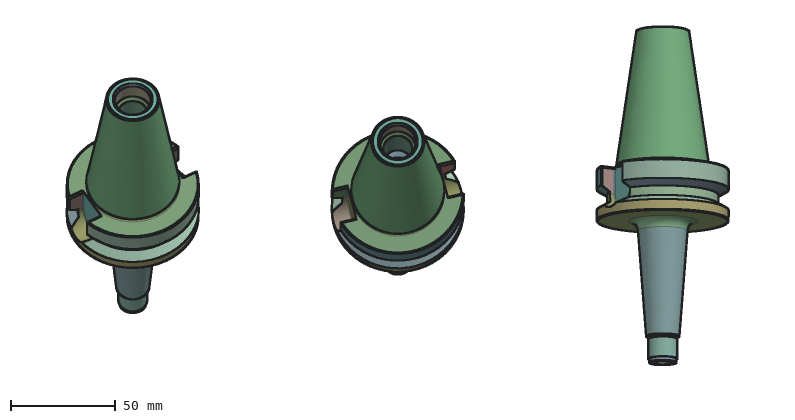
import cadquery as cq
import math


GAUGE_Z = 0.0
GAUGE_DIAMETER = 44.45
TAPER_RATIO = 7 / 24
TAPER_LENGTH = 65.4
TAPER_TOP_CHAMFER_WIDTH = 0.8
TAPER_TOP_CHAMFER_HEIGHT = 0.4
RELIEF_DEPTH = 0.4
RELIEF_HEIGHT = 0.9
RELIEF_FILLET = 0.65

FLANGE_DIAMETER = 63.0
FLANGE_TOP_Z = -2.0
FLANGE_BOTTOM_Z = -27.0
FLANGE_EDGE_CHAMFER = 0.5
GROOVE_DIAMETER = 53.2
GROOVE_MIDDLE_Z = -16.6
GROOVE_FLOOR_WIDTH = 4.6
GROOVE_FLANK_ANGLE = 30.0

SLOT_WIDTH = 16.1
SLOT_FLOOR_Y = 22.5
SLOT_ARC_CENTER_Z = -15.2
SLOT_CORNER_RADIUS = 0.5
SLOT_EDGE_CHAMFER = 0.5
SLOT_TOP_CHAMFER = 0.9

NECK_TOP_DIAMETER = 23.8
NECK_BOTTOM_DIAMETER = 16.0
NECK_TOP_Z = -31.6
NECK_BOTTOM_Z = -82.6
NECK_FLARE_RADIUS = 4.6
SPIGOT_DIAMETER = 14.0
UNDERCUT_DIAMETER = 12.7
UNDERCUT_FACE_HEIGHT = 0.4
UNDERCUT_LENGTH = 1.4
TIP_DIAMETER = 13.2
TIP_LENGTH = 2.0
TIP_CHAMFER = 0.25
BOTTOM_Z = -95.5

BORE_DIAMETER = 17.0
BORE_MOUTH_CHAMFER = 1.0
BORE_DEPTH = 9.1
THREAD_BORE_DIAMETER = 13.84
THREAD_BORE_DEPTH = 30.0
DRILL_POINT_ANGLE = 120.0
COOLANT_DIAMETER = 8.0

FLANGE_RADIUS = FLANGE_DIAMETER / 2


def make_body():
    """Revolve the outer profile; the axis is the left side of the (radius, height) sketch."""
    gauge_radius = GAUGE_DIAMETER / 2
    top_radius = gauge_radius - TAPER_LENGTH * TAPER_RATIO / 2
    relief_radius = gauge_radius - RELIEF_DEPTH
    half_floor = GROOVE_FLOOR_WIDTH / 2
    groove_radius = GROOVE_DIAMETER / 2
    flank_height = (FLANGE_RADIUS - groove_radius) * math.tan(math.radians(GROOVE_FLANK_ANGLE))
    half_mouth = half_floor + flank_height
    neck_radius = NECK_TOP_DIAMETER / 2
    spigot_radius = SPIGOT_DIAMETER / 2
    undercut_radius = UNDERCUT_DIAMETER / 2
    tip_radius = TIP_DIAMETER / 2
    return (
        cq.Workplane("XZ")
        .moveTo(0, TAPER_LENGTH)
        .lineTo(top_radius - TAPER_TOP_CHAMFER_WIDTH, TAPER_LENGTH)
        .lineTo(top_radius, TAPER_LENGTH - TAPER_TOP_CHAMFER_HEIGHT)
        .lineTo(gauge_radius, GAUGE_Z)
        .lineTo(relief_radius, -RELIEF_HEIGHT)
        .lineTo(relief_radius, FLANGE_TOP_Z + RELIEF_FILLET)
        .radiusArc((relief_radius + RELIEF_FILLET, FLANGE_TOP_Z), -RELIEF_FILLET)
        .lineTo(FLANGE_RADIUS - FLANGE_EDGE_CHAMFER, FLANGE_TOP_Z)
        .lineTo(FLANGE_RADIUS, FLANGE_TOP_Z - FLANGE_EDGE_CHAMFER)
        .lineTo(FLANGE_RADIUS, GROOVE_MIDDLE_Z + half_mouth)
        .lineTo(groove_radius, GROOVE_MIDDLE_Z + half_floor)
        .lineTo(groove_radius, GROOVE_MIDDLE_Z - half_floor)
        .lineTo(FLANGE_RADIUS, GROOVE_MIDDLE_Z - half_mouth)
        .lineTo(FLANGE_RADIUS, FLANGE_BOTTOM_Z + FLANGE_EDGE_CHAMFER)
        .lineTo(FLANGE_RADIUS - FLANGE_EDGE_CHAMFER, FLANGE_BOTTOM_Z)
        .lineTo(neck_radius + NECK_FLARE_RADIUS, FLANGE_BOTTOM_Z)
        .radiusArc((neck_radius, NECK_TOP_Z), -NECK_FLARE_RADIUS)
        .lineTo(NECK_BOTTOM_DIAMETER / 2, NECK_BOTTOM_Z)
        .lineTo(spigot_radius, NECK_BOTTOM_Z)
        .lineTo(undercut_radius, NECK_BOTTOM_Z - UNDERCUT_FACE_HEIGHT)
        .lineTo(spigot_radius, NECK_BOTTOM_Z - UNDERCUT_LENGTH)
        .lineTo(spigot_radius, BOTTOM_Z + TIP_LENGTH)
        .lineTo(undercut_radius, BOTTOM_Z + TIP_LENGTH)
        .lineTo(tip_radius, BOTTOM_Z + TIP_CHAMFER)
        .lineTo(tip_radius - TIP_CHAMFER, BOTTOM_Z)
        .lineTo(0, BOTTOM_Z)
        .close()
        .revolve(360, (0, 0, 0), (0, 1, 0))
    )


def make_bore():
    """Bore with a 45 degree shoulder, a thread bore with a drill point, and the coolant hole."""
    bore_radius = BORE_DIAMETER / 2
    thread_radius = THREAD_BORE_DIAMETER / 2
    coolant_radius = COOLANT_DIAMETER / 2
    shoulder_z = TAPER_LENGTH - BORE_DEPTH
    shoulder_height = bore_radius - thread_radius
    thread_end_z = TAPER_LENGTH - THREAD_BORE_DEPTH
    point_height = (thread_radius - coolant_radius) / math.tan(math.radians(DRILL_POINT_ANGLE / 2))
    return (
        cq.Workplane("XZ")
        .moveTo(0, TAPER_LENGTH)
        .lineTo(bore_radius + BORE_MOUTH_CHAMFER, TAPER_LENGTH)
        .lineTo(bore_radius, TAPER_LENGTH - BORE_MOUTH_CHAMFER)
        .lineTo(bore_radius, shoulder_z)
        .lineTo(thread_radius, shoulder_z - shoulder_height)
        .lineTo(thread_radius, thread_end_z)
        .lineTo(coolant_radius, thread_end_z - point_height)
        .lineTo(coolant_radius, BOTTOM_Z)
        .lineTo(0, BOTTOM_Z)
        .close()
        .revolve(360, (0, 0, 0), (0, 1, 0))
    )


def make_slot_cutter():
    """U-shaped cutter for the -Y drive slot, with its floor edge rounded."""
    half_width = SLOT_WIDTH / 2
    cutter = (
        cq.Workplane("XZ", origin=(0, -SLOT_FLOOR_Y, 0))
        .moveTo(-half_width, GAUGE_Z)
        .lineTo(-half_width, SLOT_ARC_CENTER_Z)
        .threePointArc((0, SLOT_ARC_CENTER_Z - half_width), (half_width, SLOT_ARC_CENTER_Z))
        .lineTo(half_width, GAUGE_Z)
        .close()
        .extrude(FLANGE_RADIUS)
    )
    floor_edges = cutter.faces(">Y").edges("not >Z")
    return cutter.newObject(floor_edges.vals()).fillet(SLOT_CORNER_RADIUS)


def make_slot_top_bevel():
    """Wedge along the slot that bevels both slot walls at the flange top."""
    half_width = SLOT_WIDTH / 2
    half_mouth = half_width + SLOT_TOP_CHAMFER
    bevel_bottom = FLANGE_TOP_Z - SLOT_TOP_CHAMFER
    return (
        cq.Workplane("XZ", origin=(0, -SLOT_FLOOR_Y, 0))
        .moveTo(-half_mouth, FLANGE_TOP_Z)
        .lineTo(-half_width, bevel_bottom)
        .lineTo(half_width, bevel_bottom)
        .lineTo(half_mouth, FLANGE_TOP_Z)
        .close()
        .extrude(FLANGE_RADIUS)
    )


def make_slot_side_bevel():
    """Upright wedge that bevels the outer edges of both slot walls above the groove."""
    half_width = SLOT_WIDTH / 2
    half_mouth = half_width + SLOT_EDGE_CHAMFER
    mouth_y = -math.sqrt(FLANGE_RADIUS**2 - half_mouth**2)
    return (
        cq.Workplane("XY", origin=(0, 0, GROOVE_MIDDLE_Z))
        .moveTo(-half_width, mouth_y + SLOT_EDGE_CHAMFER)
        .lineTo(half_width, mouth_y + SLOT_EDGE_CHAMFER)
        .lineTo(half_mouth, mouth_y)
        .lineTo(half_mouth, -FLANGE_DIAMETER)
        .lineTo(-half_mouth, -FLANGE_DIAMETER)
        .lineTo(-half_mouth, mouth_y)
        .close()
        .extrude(FLANGE_TOP_Z - GROOVE_MIDDLE_Z)
    )


slot = make_slot_cutter().union(make_slot_top_bevel()).union(make_slot_side_bevel())
result = make_body().cut(make_bore())
for angle in (0, 180):
    result = result.cut(slot.rotate((0, 0, 0), (0, 0, 1), angle))